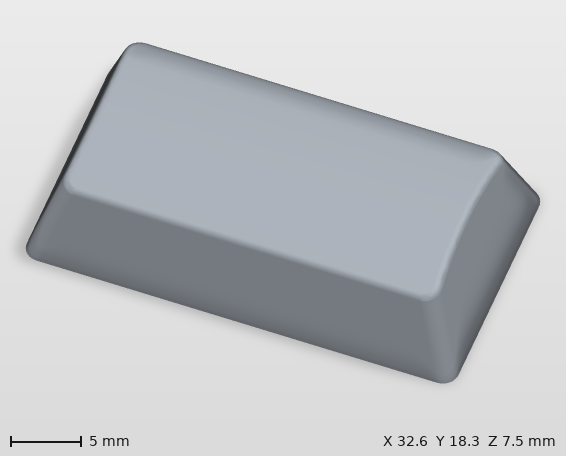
import cadquery as cq

length = 32.6
width = 18.3
height = 7.5

side_draft = 18.0
crown_radius = 24.12
corner_radius = 1.27
rim_radius = 0.6


def tapered_block():
    """Rectangular block whose four flat sides lean inwards by the draft angle."""
    return cq.Workplane("XY").rect(length, width).extrude(height, taper=side_draft)


def crown_cylinder():
    """Cylinder along X whose top line lies at the full height of the part."""
    return (
        cq.Workplane("YZ")
        .center(0, height - crown_radius)
        .circle(crown_radius)
        .extrude(length / 2, both=True)
    )


def round_corners(block):
    """Round the four sloping corner edges."""
    return block.edges("not(|X or |Y)").fillet(corner_radius)


def round_rim(body):
    """Round the edge loop around the crowned top."""
    return body.faces("%CYLINDER").faces(">Z").edges().fillet(rim_radius)


result = round_rim(round_corners(tapered_block()).intersect(crown_cylinder()))